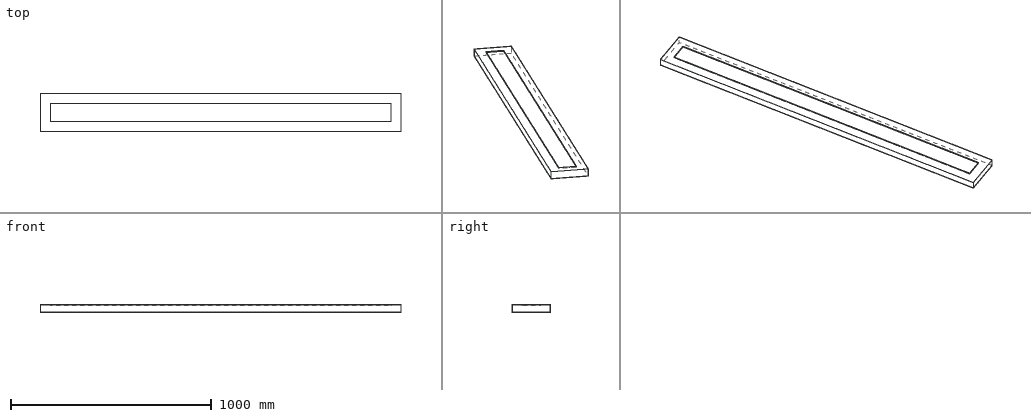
import cadquery as cq

length = 1800.0
width = 190.0
thickness = 38.0

recess_margin = 50.0
recess_depth = 5.0
recess_length = length - 2 * recess_margin
recess_width = width - 2 * recess_margin


def make_board():
    """Plain rectangular board, centred in X and Y, resting on Z = 0."""
    return cq.Workplane("XY").box(length, width, thickness, centered=(True, True, False))


def cut_recess(board):
    """Cut the centred recess down from the top face."""
    return board.faces(">Z").workplane().rect(recess_length, recess_width).cutBlind(-recess_depth)


result = cut_recess(make_board())